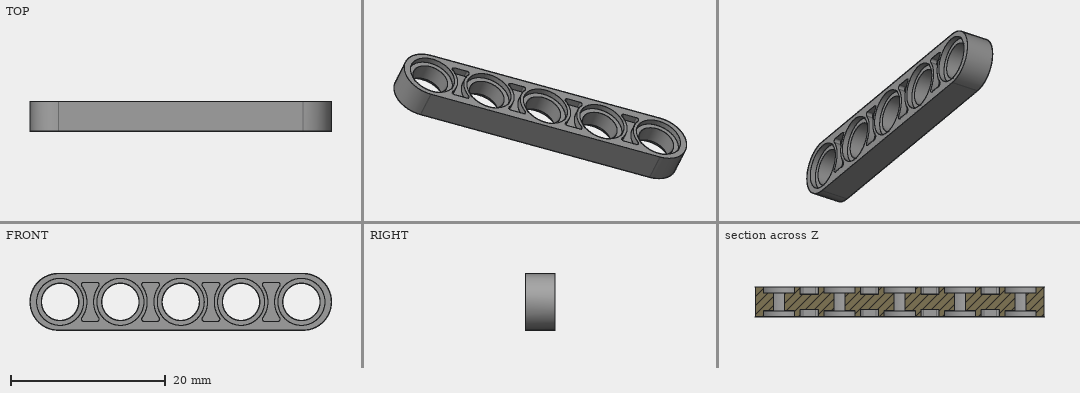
import cadquery as cq
import math

LENGTH = 39.0
THICKNESS = 3.85
HEIGHT = 7.37

HOLE_COUNT = 5
HOLE_PITCH = 7.8
HOLE_DIAMETER = 4.8
RIM_DIAMETER = 6.1
RIM_DEPTH = 0.78

POCKET_HEIGHT = 5.07
POCKET_SIDE_RADIUS = 3.47
POCKET_CORNER_RADIUS = 0.3
POCKET_DEPTH = 0.95

HALF_THICKNESS = THICKNESS / 2


def centres(count):
    """Points spaced one hole pitch apart along X, centred on the origin."""
    return [((i - (count - 1) / 2) * HOLE_PITCH, 0) for i in range(count)]


def on_both_faces(cutter):
    """Pair a cutter on the -Y face with its mirror image on the +Y face."""
    return cutter.union(cutter.mirror("XZ"))


def make_body():
    return cq.Workplane("XZ").slot2D(LENGTH, HEIGHT).extrude(HALF_THICKNESS, both=True)


def make_holes():
    return (
        cq.Workplane("XZ")
        .pushPoints(centres(HOLE_COUNT))
        .circle(HOLE_DIAMETER / 2)
        .extrude(HALF_THICKNESS, both=True)
    )


def make_rims():
    rims = (
        cq.Workplane("XZ", origin=(0, -HALF_THICKNESS, 0))
        .pushPoints(centres(HOLE_COUNT))
        .circle(RIM_DIAMETER / 2)
        .extrude(-RIM_DEPTH)
    )
    return on_both_faces(rims)


def make_pocket(centre):
    """One pocket with flat ends and sides that curve around the two holes beside it."""
    half_height = POCKET_HEIGHT / 2
    half_waist = HOLE_PITCH / 2 - POCKET_SIDE_RADIUS
    half_end = HOLE_PITCH / 2 - math.sqrt(POCKET_SIDE_RADIUS**2 - half_height**2)
    pocket = (
        cq.Workplane("XZ", origin=(0, -HALF_THICKNESS, 0))
        .center(*centre)
        .moveTo(-half_end, half_height)
        .lineTo(half_end, half_height)
        .threePointArc((half_waist, 0), (half_end, -half_height))
        .lineTo(-half_end, -half_height)
        .threePointArc((-half_waist, 0), (-half_end, half_height))
        .close()
        .extrude(-POCKET_DEPTH)
        .edges("|Y")
        .fillet(POCKET_CORNER_RADIUS)
    )
    return on_both_faces(pocket)


result = make_body().cut(make_holes()).cut(make_rims())
for pocket_centre in centres(HOLE_COUNT - 1):
    result = result.cut(make_pocket(pocket_centre))